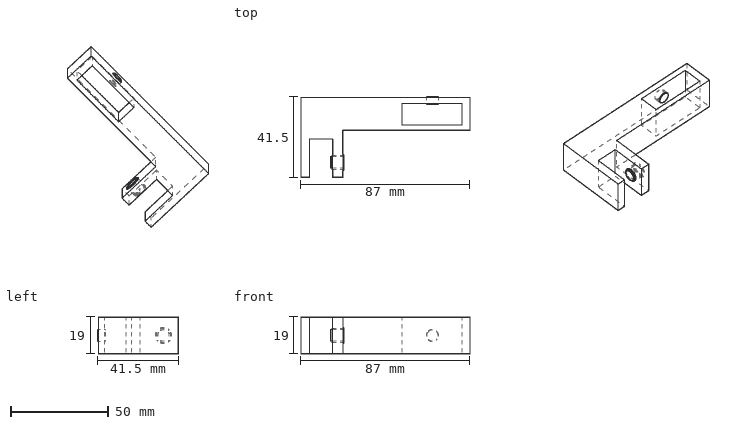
import cadquery as cq

LENGTH = 87.0
HEIGHT = 19.0
ARM_DEPTH = 17.05
LEG_WIDTH = 21.6
LEG_REACH = 41.15

OUTER_CHEEK = 4.5
INNER_CHEEK = 5.2
SLOT_FLOOR_Y = -21.5

WINDOW_LEFT = 52.0
WINDOW_LENGTH = 30.8
BACK_WALL = 3.2
WINDOW_DEPTH = 11.0

PLUG_OUTER_PROUD = 0.35
PLUG_INNER_PROUD = 0.4
CHAMFER = 0.3

PLUG_X = 67.6
PLUG_DIAMETER = 6.3

BUSHING_Y = -33.5
BUSHING_DIAMETER = 7.3
FLANGE_DIAMETER = 8.35
FLANGE_THICKNESS = 0.5
SLEEVE_PROUD = 0.4
PIN_DIAMETER = 5.9
PIN_PROUD = 1.1

cheek_inside_x = LEG_WIDTH - INNER_CHEEK
flange_end_x = LEG_WIDTH + FLANGE_THICKNESS


def cylinder_along_x(start_x, end_x, diameter):
    """Cylinder on the bushing axis."""
    return (
        cq.Workplane("YZ", origin=(start_x, BUSHING_Y, 0))
        .circle(diameter / 2)
        .extrude(end_x - start_x)
    )


def cylinder_along_y(start_y, end_y, diameter):
    """Cylinder on the plug axis, running toward -Y."""
    return (
        cq.Workplane("XZ", origin=(PLUG_X, start_y, 0))
        .circle(diameter / 2)
        .extrude(start_y - end_y)
    )


def make_bracket():
    outline = [
        (0, 0),
        (LENGTH, 0),
        (LENGTH, -ARM_DEPTH),
        (LEG_WIDTH, -ARM_DEPTH),
        (LEG_WIDTH, -LEG_REACH),
        (cheek_inside_x, -LEG_REACH),
        (cheek_inside_x, SLOT_FLOOR_Y),
        (OUTER_CHEEK, SLOT_FLOOR_Y),
        (OUTER_CHEEK, -LEG_REACH),
        (0, -LEG_REACH),
    ]
    bar = cq.Workplane("XY").polyline(outline).close().extrude(HEIGHT / 2, both=True)
    window = (
        cq.Workplane("XY")
        .center(WINDOW_LEFT + WINDOW_LENGTH / 2, -BACK_WALL - WINDOW_DEPTH / 2)
        .rect(WINDOW_LENGTH, WINDOW_DEPTH)
        .extrude(HEIGHT / 2, both=True)
    )
    plug_hole = cylinder_along_y(0, -BACK_WALL, PLUG_DIAMETER)
    bushing_hole = cylinder_along_x(cheek_inside_x, LEG_WIDTH, BUSHING_DIAMETER)
    return bar.cut(window).cut(plug_hole).cut(bushing_hole)


def make_plug():
    plug = cylinder_along_y(PLUG_OUTER_PROUD, -BACK_WALL - PLUG_INNER_PROUD, PLUG_DIAMETER)
    return plug.faces("<Y or >Y").chamfer(CHAMFER)


def make_bushing():
    sleeve = cylinder_along_x(cheek_inside_x - SLEEVE_PROUD, LEG_WIDTH, BUSHING_DIAMETER)
    flange = cylinder_along_x(LEG_WIDTH, flange_end_x, FLANGE_DIAMETER)
    flange = flange.faces(">X").chamfer(CHAMFER)
    bore = cylinder_along_x(cheek_inside_x - SLEEVE_PROUD, flange_end_x, PIN_DIAMETER)
    return sleeve.union(flange).cut(bore)


def make_pin():
    """Pin flush with the flange, standing proud into the slot."""
    return cylinder_along_x(cheek_inside_x - PIN_PROUD, flange_end_x, PIN_DIAMETER)


bracket = make_bracket()
plug = make_plug()
bushing = make_bushing()
pin = make_pin()

result = cq.Compound.makeCompound([bracket.val(), plug.val(), bushing.val(), pin.val()])